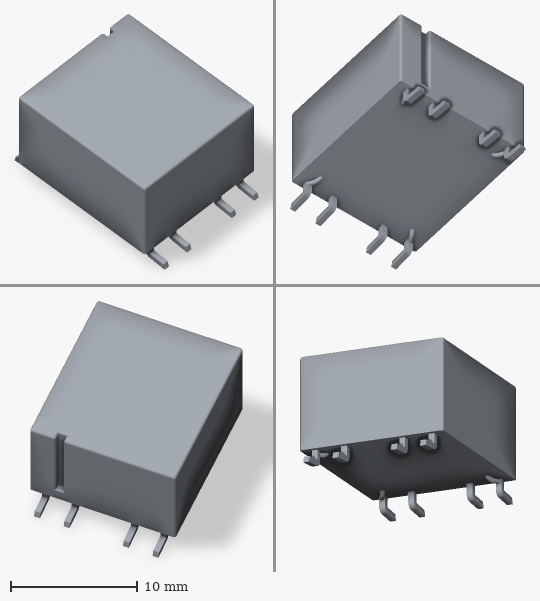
import cadquery as cq
import math

housing_length = 14.0
housing_width = 12.5
housing_bottom = 1.5
housing_top = 9.3
housing_height = housing_top - housing_bottom
edge_radius = 0.2

notch_depth = 0.6
notch_width = 0.7
notch_center_y = 3.7
notch_sill = 1.0
notch_bottom = housing_bottom + notch_sill

base_rim = 0.3
base_thickness = 0.8
base_length = housing_length - 2 * base_rim
base_width = housing_width - 2 * base_rim

lead_pitch = 2.54
lead_rows = (-2 * lead_pitch, -lead_pitch, lead_pitch, 2 * lead_pitch)
lead_thickness = 0.5
lead_width = 0.5
lead_span = 16.6
lead_inner_x = 6.15
lead_root_z = housing_bottom + base_thickness / 2
lead_outer_x = lead_inner_x + lead_thickness
foot_angle = math.radians(5)
tip_angle = math.radians(18)
inner_bend_radius = 0.05
outer_bend_radius = inner_bend_radius + lead_thickness

wire_diameter = 0.4
wire_axis_drop = 0.22
wire_axis_z = housing_bottom - wire_axis_drop
wire_overlap = 0.15
wire_run_right = 0.4
wire_run_left = 0.55
wire_bend_radius = 0.75
wire_heading = 28


def make_base_plate():
    return (
        cq.Workplane("XY", origin=(0, 0, housing_bottom))
        .rect(base_length, base_width)
        .extrude(base_thickness)
    )


def make_housing():
    """Block with a keying notch, rounded edges and a recess for the base plate."""
    body = (
        cq.Workplane("XY", origin=(0, 0, housing_bottom))
        .rect(housing_length, housing_width)
        .extrude(housing_height)
    )
    notch = (
        cq.Workplane("XY")
        .box(notch_depth, notch_width, housing_top - notch_bottom, centered=(False, True, False))
        .translate((-housing_length / 2, notch_center_y, notch_bottom))
    )
    body = body.cut(notch)

    notch_back_edge = cq.selectors.NearestToPointSelector(
        (-housing_length / 2 + notch_depth, notch_center_y, housing_top)
    )
    top_edges = cq.selectors.StringSyntaxSelector(">Z") - notch_back_edge
    side_edges = cq.selectors.StringSyntaxSelector("|Z and (<X or >X)")
    body = body.edges(top_edges + side_edges).fillet(edge_radius)
    return body.cut(make_base_plate())


def make_lead(row_y):
    """Lead on the +X side: a vertical leg with a foot that slopes down to its tip."""
    slope = math.tan(foot_angle)
    tip_x = lead_span / 2
    foot_top_offset = lead_thickness / math.cos(foot_angle)
    tip_top_x = tip_x - lead_thickness * math.sin(tip_angle)

    def foot_bottom_z(x):
        return (tip_x - x) * slope

    def foot_top_z(x):
        return foot_bottom_z(x) + foot_top_offset

    lead = (
        cq.Workplane("XZ", origin=(0, row_y + lead_width / 2, 0))
        .moveTo(lead_inner_x, lead_root_z)
        .lineTo(lead_inner_x, foot_bottom_z(lead_inner_x))
        .lineTo(tip_x, 0)
        .lineTo(tip_top_x, foot_top_z(tip_top_x))
        .lineTo(lead_outer_x, foot_top_z(lead_outer_x))
        .lineTo(lead_outer_x, lead_root_z)
        .close()
        .extrude(lead_width)
    )

    def round_corner(solid, x, z, radius):
        corner = cq.selectors.NearestToPointSelector((x, row_y, z))
        return solid.edges("|Y").edges(corner).fillet(radius)

    lead = round_corner(lead, lead_inner_x, foot_bottom_z(lead_inner_x), outer_bend_radius)
    return round_corner(lead, lead_outer_x, foot_top_z(lead_outer_x), inner_bend_radius)


def make_wire(level_run):
    """Wire from the +X, +Y corner lead: a level run, then a quarter turn up into the base."""
    path = (
        cq.Workplane("XZ")
        .moveTo(wire_overlap, 0)
        .lineTo(-level_run, 0)
        .radiusArc((-level_run - wire_bend_radius, wire_bend_radius), wire_bend_radius)
    )
    wire = (
        cq.Workplane("YZ", origin=(wire_overlap, 0, 0))
        .circle(wire_diameter / 2)
        .sweep(path)
    )
    return (
        wire.rotate((0, 0, 0), (0, 0, 1), wire_heading)
        .translate((lead_inner_x, lead_rows[-1], wire_axis_z))
    )


def make_base():
    """Base plate carrying the eight leads and the four wire ends."""
    base = make_base_plate()
    for row_y in lead_rows:
        lead = make_lead(row_y)
        base = base.union(lead).union(lead.mirror("YZ"))
    right_wire = make_wire(wire_run_right)
    left_wire = make_wire(wire_run_left).mirror("YZ")
    for wire_end in (right_wire, left_wire):
        base = base.union(wire_end).union(wire_end.mirror("XZ"))
    return base


housing = make_housing()
base = make_base()
result = cq.Compound.makeCompound([housing.val(), base.val()])